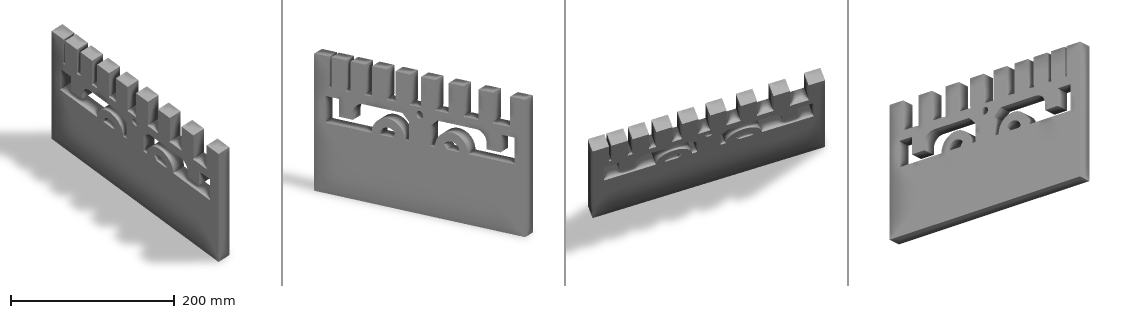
import cadquery as cq
import math

length = 300
thickness = 18
height = 180

gap_count = 8
gap_step = 3
gap_depth = 40.0
relief_radius = 1.65
tooth_width = (length - gap_step * gap_count * (gap_count + 1) / 2) / (gap_count + 1)

pin_diameter = 10.0
pin_drop = 50.0

window_drop = 52.5
window_height = 35.0
window_top = height - window_drop
window_floor = window_top - window_height
side_wall = 15
web_width = 30
web_chamfer = 10.0
window_outer = length / 2 - side_wall
window_inner = web_width / 2

post_width = (window_outer - window_inner) / 6
post_length = window_height * 2 / 3
post_outer = window_outer - post_width
post_inner = post_outer - post_width
post_fillet = 15

ring_offset = 45
ring_bore_radius = window_height / 3
ring_outer_radius = 2 * ring_bore_radius
wedge_offset = 6
wedge_angle = math.radians(55)


def box(x_start, x_end, z_start, z_end):
    """Block through the full plate thickness."""
    block = cq.Workplane("XY").box(x_end - x_start, thickness, z_end - z_start, centered=(False, True, False))
    return block.translate((x_start, 0, z_start))


def back_face(x=0, z=0):
    """XZ workplane on the back of the plate, with its origin at the given place."""
    return cq.Workplane("XZ", origin=(x, thickness / 2, z))


def disc(x, z, radius):
    """Round block through the full plate thickness."""
    return back_face(x, z).circle(radius).extrude(thickness)


def comb_gap(left, width):
    """Gap between two teeth, with a round relief passing through its lower left corner."""
    floor = height - gap_depth
    relief_shift = relief_radius / math.sqrt(2)
    relief = disc(left + relief_shift, floor + relief_shift, relief_radius)
    return box(left, left + width, floor, height).union(relief)


def window_opening():
    """Right-hand window without its ring."""
    post_tip = window_top - post_length
    arc_shift = post_fillet * (1 - math.sqrt(0.5))
    outline = (
        back_face()
        .moveTo(window_inner, window_floor)
        .lineTo(window_outer, window_floor)
        .lineTo(window_outer, window_top)
        .lineTo(post_outer, window_top)
        .lineTo(post_outer, post_tip)
        .lineTo(post_inner, post_tip)
        .lineTo(post_inner, window_top - post_fillet)
        .threePointArc(
            (post_inner - arc_shift, window_top - arc_shift),
            (post_inner - post_fillet, window_top),
        )
        .lineTo(window_inner + web_chamfer, window_top)
        .lineTo(window_inner, window_top - web_chamfer)
        .close()
    )
    return outline.extrude(thickness)


def ring_bore():
    """Half-round bore whose side nearest the web is cut off by the sloping wedge face."""
    middle_run = wedge_offset * math.cos(wedge_angle)
    face_length = math.sqrt(middle_run**2 + ring_bore_radius**2 - wedge_offset**2) - middle_run
    tip_x = -wedge_offset - face_length * math.cos(wedge_angle)
    tip_z = face_length * math.sin(wedge_angle)
    outline = (
        back_face(ring_offset, window_floor)
        .moveTo(-wedge_offset, 0)
        .lineTo(ring_bore_radius, 0)
        .threePointArc((0, ring_bore_radius), (tip_x, tip_z))
        .close()
    )
    return outline.extrude(thickness)


plate = box(-length / 2, length / 2, 0, height)

gap_left = -length / 2 + tooth_width
for gap_number in range(1, gap_count + 1):
    gap_width = gap_number * gap_step
    plate = plate.cut(comb_gap(gap_left, gap_width))
    gap_left += gap_width + tooth_width

plate = plate.cut(disc(0, height - pin_drop, pin_diameter / 2))

window = window_opening().cut(disc(ring_offset, window_floor, ring_outer_radius)).union(ring_bore())
plate = plate.cut(window).cut(window.mirror("YZ"))

result = plate.solids()